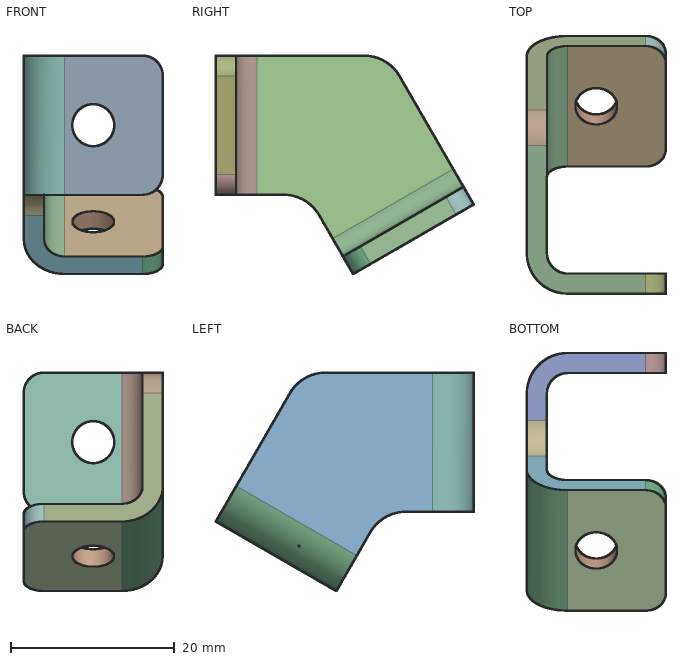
import cadquery as cq
import math

width = 17.0
thickness = 2.5
bend_outer_radius = 5.0
bend_inner_radius = bend_outer_radius - thickness
web_corner_radius = 5.0
flange_corner_radius = 2.5
hole_diameter = 5.1
overall_length = 31.5
elbow_angle = 60.0

outer_edge = overall_length / (1 + math.cos(math.radians(elbow_angle)))
half_turn = math.radians(elbow_angle / 2)
inner_edge = outer_edge - width * math.tan(half_turn)


def make_leg():
    """Upright leg: flange along X, bend and web, mitred at the elbow."""
    leg = (
        cq.Workplane("XY")
        .polyline([
            (0, 0), (width, 0), (width, thickness),
            (thickness, thickness), (thickness, outer_edge), (0, outer_edge),
        ])
        .close()
        .extrude(width)
    )
    leg = leg.edges(cq.NearestToPointSelector((0, 0, width / 2))).fillet(bend_outer_radius)
    leg = leg.edges(
        cq.NearestToPointSelector((thickness, thickness, width / 2))
    ).fillet(bend_inner_radius)
    leg = leg.faces(">X").edges("|Y").fillet(flange_corner_radius)

    hole = (
        cq.Workplane("XZ")
        .center(width / 2, width / 2)
        .circle(hole_diameter / 2)
        .extrude(-thickness)
    )
    mitre = (
        cq.Workplane("YZ")
        .polyline([(0, 0), (inner_edge, 0), (outer_edge, width), (0, width)])
        .close()
        .extrude(width)
    )
    return leg.cut(hole).intersect(mitre)


upright_leg = make_leg()
mitre_normal = cq.Vector(0, math.cos(half_turn), -math.sin(half_turn))
sloping_leg = upright_leg.mirror(mitre_normal, (0, outer_edge, width))
bracket = upright_leg.union(sloping_leg).clean()

for elbow_y, elbow_z in [(inner_edge, 0), (outer_edge, width)]:
    elbow = cq.NearestToPointSelector((thickness / 2, elbow_y, elbow_z))
    bracket = bracket.edges(elbow).fillet(web_corner_radius)

result = bracket